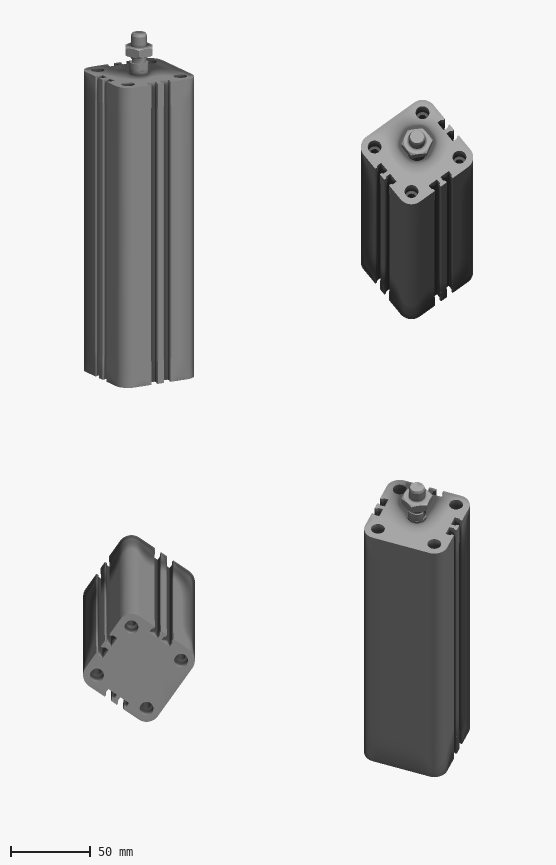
import cadquery as cq
import math

width = 55.0
corner_radius = 8.6
cap_length = 15.0
tube_length = 164.9
tube_base = cap_length
tube_top = tube_base + tube_length
body_top = tube_top + cap_length
half_width = width / 2

hole_pitch = width - 2 * corner_radius
bolt_diameter = 5.0
counterbore_diameter = 8.6
counterbore_depth = 10.0

slot_offset = 4.6
slot_mouth_width = 4.6
slot_lip = 1.3
slot_depth = 5.3
slot_inner_width = 6.6
tube_mouth_chamfer = 0.5
slot_sides = (-90, 0, 90)

rod_diameter = 12.0
neck_diameter = 11.7
rod_step = 1.3
flats_step = 0.7
neck_base = body_top + rod_step
flats_base = neck_base + flats_step
neck_top = 202.2
flats_width = 10.0
groove_diameter = 9.0
groove_top = 204.6
thread_diameter = 10.0
tip_diameter = 8.6
rod_tip = 221.0
tip_chamfer_depth = (thread_diameter - tip_diameter) / 2
tip_chamfer_height = 1.5

nut_sides = 6
nut_across_flats = 17.0
nut_base = 206.9
nut_height = 6.0
nut_chamfer_angle = 30
nut_face_diameter = 16.5


def cylinder(diameter, base, top):
    """Upright cylinder on the rod axis."""
    return cq.Workplane("XY").workplane(offset=base).circle(diameter / 2).extrude(top - base)


def t_slot(length, mouth_chamfer):
    """Cutter for one T-slot that opens on the -Y side; 45-degree flares widen it behind the lips."""
    mouth = slot_mouth_width / 2
    inner = slot_inner_width / 2
    lip_flare_depth = slot_lip + inner - mouth
    outline = [
        (mouth, 0),
        (mouth, slot_lip),
        (inner, lip_flare_depth),
        (inner, slot_depth),
        (-inner, slot_depth),
        (-inner, lip_flare_depth),
        (-mouth, slot_lip),
        (-mouth, 0),
    ]
    slot = cq.Workplane("XY").polyline(outline).close().extrude(length)
    if mouth_chamfer > 0:
        flared_mouth = mouth + mouth_chamfer
        bevel = [(-flared_mouth, 0), (flared_mouth, 0), (mouth, mouth_chamfer), (-mouth, mouth_chamfer)]
        slot = slot.union(cq.Workplane("XY").polyline(bevel).close().extrude(length))
    return slot


def profile_block(base, length, mouth_chamfer=0.0):
    """Rounded square length of barrel with slot pairs and four bolt holes."""
    block = cq.Workplane("XY").rect(width, width).extrude(length).edges("|Z").fillet(corner_radius)
    block = (
        block.faces(">Z").workplane()
        .rect(hole_pitch, hole_pitch, forConstruction=True).vertices().hole(bolt_diameter)
    )
    slot = t_slot(length, mouth_chamfer)
    for angle in slot_sides:
        for offset in (-slot_offset, slot_offset):
            cutter = slot.translate((offset, -half_width, 0))
            block = block.cut(cutter.rotate((0, 0, 0), (0, 0, 1), angle))
    return block.translate((0, 0, base))


def counterbores(base):
    """Cutter for the four bolt-hole counterbores."""
    return (
        cq.Workplane("XY").workplane(offset=base)
        .rect(hole_pitch, hole_pitch, forConstruction=True).vertices()
        .circle(counterbore_diameter / 2).extrude(counterbore_depth)
    )


def make_tube():
    """Long profile between the caps, with chamfered slot mouths."""
    return profile_block(tube_base, tube_length, tube_mouth_chamfer)


def make_rear_cap():
    """Lower end cap, counterbored from below."""
    return profile_block(0, cap_length).cut(counterbores(0))


def make_front_cap():
    """Upper end cap, counterbored from above and bored for the rod."""
    cap = profile_block(tube_top, cap_length)
    cap = cap.cut(counterbores(body_top - counterbore_depth))
    return cap.cut(cylinder(rod_diameter, tube_top, body_top))


def make_rod():
    """Rod seated on the tube end, with a flatted neck, a groove and a threaded tip."""
    shank = cylinder(rod_diameter, tube_top, neck_base)
    flats = (
        cq.Workplane("XY").workplane(offset=flats_base)
        .rect(flats_width, neck_diameter).extrude(neck_top - flats_base)
    )
    neck = cylinder(neck_diameter, neck_base, flats_base)
    neck = neck.union(cylinder(neck_diameter, flats_base, neck_top).intersect(flats))
    groove = cylinder(groove_diameter, neck_top, groove_top)
    thread = cylinder(thread_diameter, groove_top, rod_tip)
    thread = thread.faces(">Z").chamfer(tip_chamfer_height, tip_chamfer_depth)
    return shank.union(neck).union(groove).union(thread)


def make_nut():
    """Hexagonal nut with flats facing +X and -X, and conical chamfers at both ends."""
    half_sector = 360 / (2 * nut_sides)
    across_corners = nut_across_flats / math.cos(math.radians(half_sector))
    hexagon = (
        cq.Workplane("XY").transformed(rotate=(0, 0, half_sector))
        .polygon(nut_sides, across_corners).extrude(nut_height)
    )
    corner = across_corners / 2
    face = nut_face_diameter / 2
    drop = (corner - face) * math.tan(math.radians(nut_chamfer_angle))
    envelope = (
        cq.Workplane("XZ")
        .polyline([
            (0, 0), (face, 0), (corner, drop),
            (corner, nut_height - drop), (face, nut_height), (0, nut_height),
        ])
        .close().revolve(360, (0, 0, 0), (0, 1, 0))
    )
    nut = hexagon.intersect(envelope).translate((0, 0, nut_base))
    return nut.cut(cylinder(thread_diameter, nut_base, nut_base + nut_height))


tube = make_tube()
rear_cap = make_rear_cap()
front_cap = make_front_cap()
rod = make_rod()
nut = make_nut()

result = cq.Compound.makeCompound([tube.val(), rear_cap.val(), front_cap.val(), rod.val(), nut.val()])